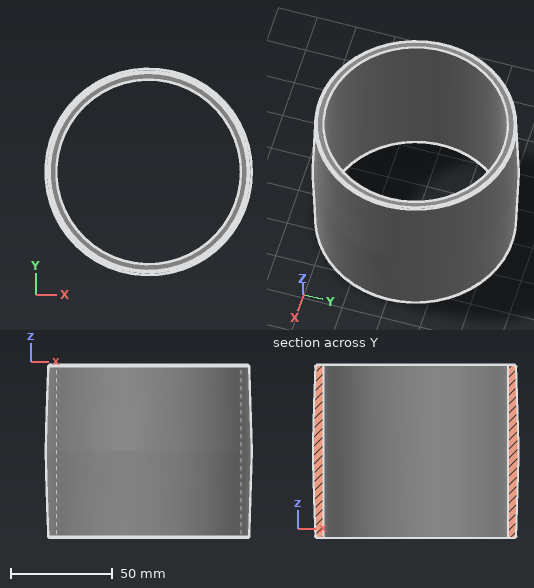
import cadquery as cq

length = 85.34
middle_diameter = 101.6
bore_diameter = 90.68
taper_on_diameter = 1 / 16
end_chamfer = 0.8

half_length = length / 2
middle_radius = middle_diameter / 2
bore_radius = bore_diameter / 2
end_radius = middle_radius - half_length * taper_on_diameter / 2


def tapered_body():
    """Solid of revolution about Z, widest at z = 0."""
    return (
        cq.Workplane("XZ")
        .moveTo(0, -half_length)
        .lineTo(end_radius, -half_length)
        .lineTo(middle_radius, 0)
        .lineTo(end_radius, half_length)
        .lineTo(0, half_length)
        .close()
        .revolve(360, (0, 0, 0), (0, 1, 0))
    )


def bore():
    """Straight cylinder running the full length."""
    return cq.Workplane("XY").workplane(offset=-half_length).circle(bore_radius).extrude(length)


chamfered_body = tapered_body().faces("<Z or >Z").edges().chamfer(end_chamfer)
result = chamfered_body.cut(bore())